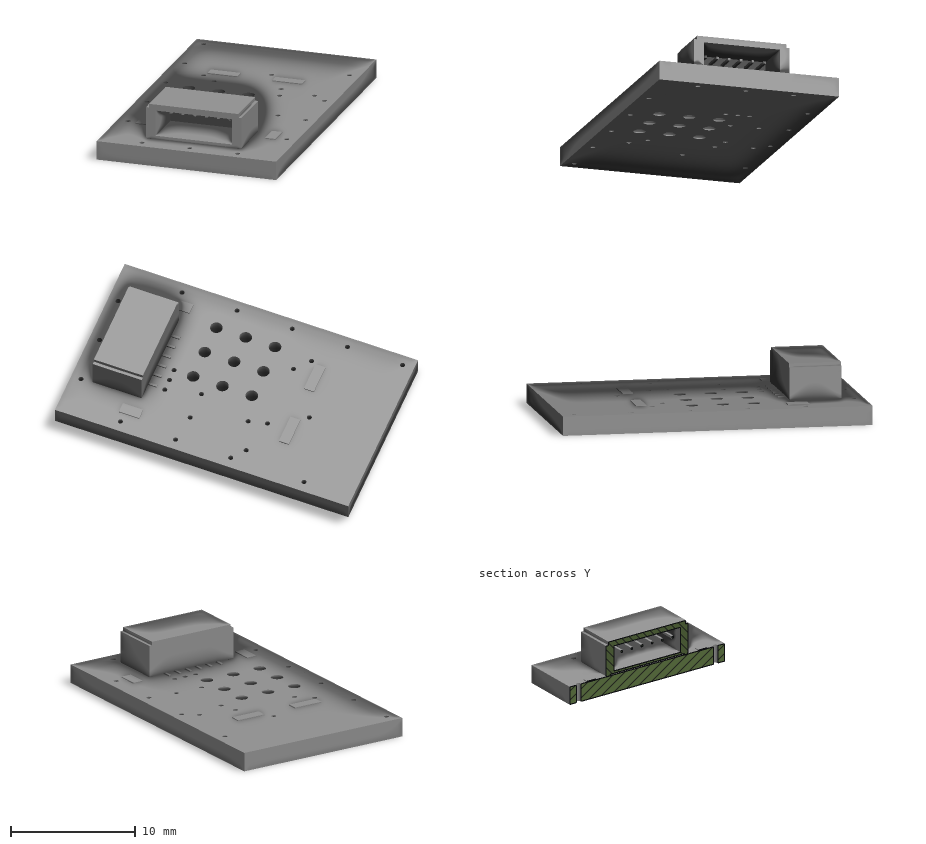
import cadquery as cq

BOARD_WIDTH = 15.25
BOARD_LENGTH = 25.4
BOARD_THICKNESS = 1.57

VIA_DIAMETER = 0.4
EDGE_VIA_X = 6.73
EDGE_VIA_PITCH = 4.78
EDGE_VIA_FIRST_Y = -7.4
LEFT_VIA_COUNT = 5
RIGHT_VIA_COUNT = 4
RIGHT_VIA_LAST_Y = 8.5
FRONT_VIA_Y = -11.85
FRONT_VIA_PITCH = 4.06
SIGNAL_VIA_Y = -5.2
SIGNAL_VIA_XS = (0.5, 1.52, 2.55)
SCATTERED_VIAS = [
    (0.75, 6.6),
    (-4.4, 4.75),
    (-3.15, 3.68),
    (2.55, 3.68),
    (5.6, 3.05),
    (2.92, 2.15),
    (1.85, -2.3),
    (4.3, -2.3),
]

GRID_HOLE_DIAMETER = 1.02
GRID_PITCH = 2.55
GRID_COUNT = 3
GRID_CENTER = (-2.03, -1.02)

PAD_THICKNESS = 0.08
REAR_PAD_SIZE = (2.55, 0.86)
REAR_PAD_XS = (-2.92, 2.57)
REAR_PAD_Y = 5.61
SIDE_PAD_SIZE = (0.9, 1.75)
SIDE_PAD_X = 5.49
SIDE_PAD_Y = -6.95

HOUSING_WIDTH = 8.1
HOUSING_FRONT_Y = -10.85
HOUSING_REAR_Y = -6.6
HOUSING_TOP_Z = 4.57
HOUSING_STEP_WIDTH = 0.25
HOUSING_STEP_HEIGHT = 0.3
CAVITY_WIDTH = 6.48
CAVITY_BOTTOM_Z = 1.9
CAVITY_TOP_Z = 4.06
REAR_WALL = 0.5

STANDOFF = 0.08
FOOT_WIDTH = 0.35
FOOT_INSET = 0.05

CONTACT_COUNT = 6
CONTACT_ROW_SPAN = 5.0
CONTACT_WIDTH = 0.2
PIN_CENTER_Z = 3.4
PIN_LENGTH = 2.03
LEAD_LENGTH = 0.7
LEAD_THICKNESS = 0.1

HOUSING_LENGTH = HOUSING_REAR_Y - HOUSING_FRONT_Y
HOUSING_BOTTOM_Z = BOARD_THICKNESS + STANDOFF
CAVITY_REAR_Y = HOUSING_REAR_Y - REAR_WALL


def block(x_center, y_min, z_min, size):
    """Box centred on x_center that starts at y_min and z_min."""
    return (
        cq.Workplane("XY")
        .box(*size, centered=(True, False, False))
        .translate((x_center, y_min, z_min))
    )


def via_points():
    """Centres of all small vias: both side edges, the front row, the signal row and the rest."""
    left = [(-EDGE_VIA_X, EDGE_VIA_FIRST_Y + i * EDGE_VIA_PITCH) for i in range(LEFT_VIA_COUNT)]
    right = [(EDGE_VIA_X, y) for _, y in left[:RIGHT_VIA_COUNT - 1]]
    right.append((EDGE_VIA_X, RIGHT_VIA_LAST_Y))
    front = [(i * FRONT_VIA_PITCH, FRONT_VIA_Y) for i in (-1, 0, 1)]
    signal = [(x, SIGNAL_VIA_Y) for x in SIGNAL_VIA_XS]
    return left + right + front + signal + SCATTERED_VIAS


def make_board():
    board = block(0, -BOARD_LENGTH / 2, 0, (BOARD_WIDTH, BOARD_LENGTH, BOARD_THICKNESS))
    vias = cq.Workplane("XY").pushPoints(via_points()).circle(VIA_DIAMETER / 2).extrude(BOARD_THICKNESS)
    grid_holes = (
        cq.Workplane("XY")
        .center(*GRID_CENTER)
        .rarray(GRID_PITCH, GRID_PITCH, GRID_COUNT, GRID_COUNT)
        .circle(GRID_HOLE_DIAMETER / 2)
        .extrude(BOARD_THICKNESS)
    )
    return board.cut(vias).cut(grid_holes)


def make_pad(x, y, size):
    width, length = size
    return block(x, y - length / 2, BOARD_THICKNESS, (width, length, PAD_THICKNESS))


def make_housing_shell():
    top_width = HOUSING_WIDTH - 2 * HOUSING_STEP_WIDTH
    shoulder_z = HOUSING_TOP_Z - HOUSING_STEP_HEIGHT
    body = block(0, HOUSING_FRONT_Y, HOUSING_BOTTOM_Z,
                 (HOUSING_WIDTH, HOUSING_LENGTH, shoulder_z - HOUSING_BOTTOM_Z))
    raised_top = block(0, HOUSING_FRONT_Y, shoulder_z,
                       (top_width, HOUSING_LENGTH, HOUSING_STEP_HEIGHT))
    cavity = block(0, HOUSING_FRONT_Y, CAVITY_BOTTOM_Z,
                   (CAVITY_WIDTH, CAVITY_REAR_Y - HOUSING_FRONT_Y, CAVITY_TOP_Z - CAVITY_BOTTOM_Z))
    return body.union(raised_top).cut(cavity)


def make_connector():
    connector = make_housing_shell()
    foot_size = (FOOT_WIDTH, HOUSING_LENGTH - 2 * FOOT_INSET, STANDOFF)
    foot_x = (HOUSING_WIDTH - FOOT_WIDTH) / 2 - FOOT_INSET
    for x in (-foot_x, foot_x):
        connector = connector.union(block(x, HOUSING_FRONT_Y + FOOT_INSET, BOARD_THICKNESS, foot_size))
    pitch = CONTACT_ROW_SPAN / (CONTACT_COUNT - 1)
    for i in range(CONTACT_COUNT):
        x = i * pitch - CONTACT_ROW_SPAN / 2
        pin = block(x, CAVITY_REAR_Y - PIN_LENGTH, PIN_CENTER_Z - CONTACT_WIDTH / 2,
                    (CONTACT_WIDTH, PIN_LENGTH, CONTACT_WIDTH))
        lead = block(x, CAVITY_REAR_Y, BOARD_THICKNESS,
                     (CONTACT_WIDTH, REAR_WALL + LEAD_LENGTH, LEAD_THICKNESS))
        connector = connector.union(pin).union(lead)
    return connector


board = make_board()
connector = make_connector()
rear_pads = [make_pad(x, REAR_PAD_Y, REAR_PAD_SIZE) for x in REAR_PAD_XS]
side_pads = [make_pad(x, SIDE_PAD_Y, SIDE_PAD_SIZE) for x in (-SIDE_PAD_X, SIDE_PAD_X)]

result = cq.Compound.makeCompound(
    [board.val(), connector.val(), *[pad.val() for pad in rear_pads + side_pads]])